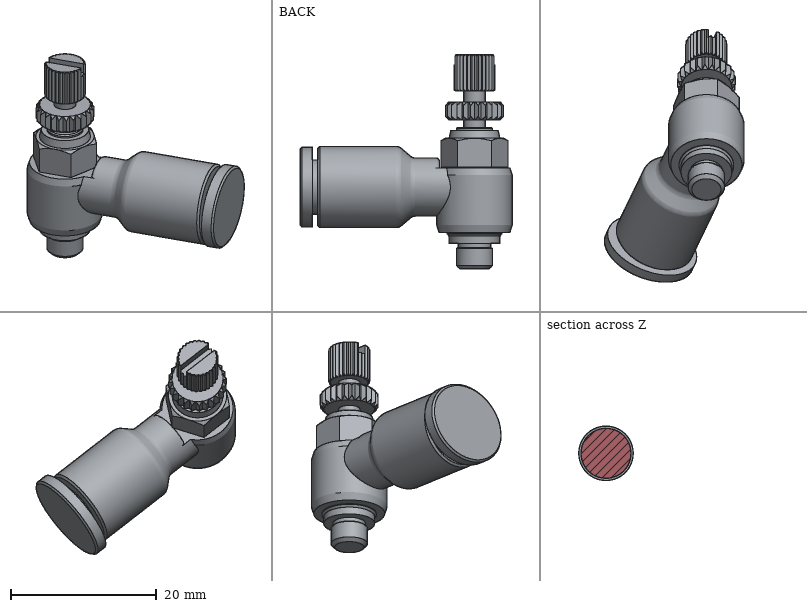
import cadquery as cq
import math


stud_d = 5.0
stud_tip_chamfer = 0.5
stud_top_z = 2.8
neck_d = 4.5
neck_bottom_z = 2.97
collar_d = 7.0
collar_bottom_z = 3.5
collar_top_z = 4.5
seal_d = 7.5
seal_rim_height = 0.1
swivel_neck_d = 6.9
swivel_gap = 0.1
body_d = 10.4
body_bottom_z = 5.0
body_top_z = 13.9
body_chamfer_width = 0.32
body_chamfer_height = 1.0

hex_flats = 8.0
hex_top_z = 17.95
hex_chamfer_angle = 30
cone_bottom_d = 7.0
cone_top_d = 6.5
cone_top_z = 19.05
lip_d = stud_d
lip_top_z = 19.47
lip_chamfer = 0.18

stem_d = 3.0
wheel_tip_d = 8.0
wheel_root_d = 6.9
wheel_teeth = 24
wheel_bottom_z = 20.47
wheel_height = 2.5
wheel_chamfer = 0.5
knob_tip_d = 5.68
knob_root_d = 5.1
knob_teeth = 28
knob_height = 5.0
knob_chamfer = 0.2
knob_top_z = 29.45
slot_width = 1.2
slot_depth = 1.4

socket_axis_z = 11.25
branch_d = 8.0
branch_shoulder_x = 4.8
branch_shoulder_fillet = 0.5
socket_d = 11.2
taper_start_x = 8.5
taper_end_x = 10.37
taper_fillet = 1.0
socket_end_x = 21.55
socket_end_chamfer = 0.3
sleeve_d = 7.5
flange_start_x = 22.3
overall_length = 29.15
flange_end_x = overall_length - body_d / 2
flange_width = 13.0
flange_height = 11.0
flange_chamfer = 0.27


def rod(diameter, bottom_z, top_z):
    """Upright cylinder on the valve axis."""
    return cq.Workplane("XY").workplane(offset=bottom_z).circle(diameter / 2).extrude(top_z - bottom_z)


def frustum(bottom_d, top_d, bottom_z, top_z):
    """Upright cone frustum on the valve axis."""
    height = top_z - bottom_z
    cone = cq.Solid.makeCone(bottom_d / 2, top_d / 2, height, cq.Vector(0, 0, bottom_z))
    return cq.Workplane(obj=cone)


def socket_plane(x):
    """Plane across the socket axis at the given X, with local x along +Y."""
    return cq.Workplane(cq.Plane(origin=(x, 0, socket_axis_z), xDir=(0, 1, 0), normal=(1, 0, 0)))


def make_stud():
    """Stud with its undercut, the sealing collar and the flared seal just clear of the body."""
    stud = rod(stud_d, 0, stud_top_z).faces("<Z").chamfer(stud_tip_chamfer)
    runout = frustum(stud_d, neck_d, stud_top_z, neck_bottom_z)
    neck = rod(neck_d, neck_bottom_z, collar_bottom_z)
    collar = rod(collar_d, collar_bottom_z, collar_top_z)
    seal_top_z = body_bottom_z - swivel_gap
    rim_bottom_z = seal_top_z - seal_rim_height
    seal = frustum(collar_d, seal_d, collar_top_z, rim_bottom_z)
    rim = rod(seal_d, rim_bottom_z, seal_top_z)
    swivel_neck = rod(swivel_neck_d, seal_top_z, body_bottom_z)
    lower_part = stud.union(runout).union(neck).union(collar)
    return lower_part.union(seal).union(rim).union(swivel_neck)


def make_body():
    """Elbow body with a steep chamfer at both ends."""
    end_d = body_d - 2 * body_chamfer_width
    lower_z = body_bottom_z + body_chamfer_height
    upper_z = body_top_z - body_chamfer_height
    bottom = frustum(end_d, body_d, body_bottom_z, lower_z)
    barrel = rod(body_d, lower_z, upper_z)
    top = frustum(body_d, end_d, upper_z, body_top_z)
    return bottom.union(barrel).union(top)


def make_nut():
    """Hexagon with corners along X, top corners turned off, on a neck just clear of the body."""
    corner_d = hex_flats / math.cos(math.radians(30))
    bottom_z = body_top_z + swivel_gap
    height = hex_top_z - bottom_z
    hexagon = cq.Workplane("XY").workplane(offset=bottom_z).polygon(6, corner_d).extrude(height)
    spread = 2 * height / math.tan(math.radians(hex_chamfer_angle))
    chamfer_cone = frustum(hex_flats + spread, hex_flats, bottom_z, hex_top_z)
    neck = rod(swivel_neck_d, body_top_z, bottom_z)
    return neck.union(hexagon.intersect(chamfer_cone))


def make_nut_top():
    """Cone and chamfered lip that close the nut around the stem."""
    cone = frustum(cone_bottom_d, cone_top_d, hex_top_z, cone_top_z)
    lip = rod(lip_d, cone_top_z, lip_top_z).faces(">Z").chamfer(lip_chamfer)
    return cone.union(lip)


def make_toothed_wheel(teeth, root_d, tip_d, bottom_z, height, chamfer):
    """Wheel with sharp V teeth, chamfered at both ends, a tooth root lying on +X."""
    points = []
    for step in range(2 * teeth):
        radius = (tip_d if step % 2 else root_d) / 2
        angle = math.pi * step / teeth
        points.append((radius * math.cos(angle), radius * math.sin(angle)))
    wheel = cq.Workplane("XY").workplane(offset=bottom_z).polyline(points).close().extrude(height)
    blank = rod(tip_d, bottom_z, bottom_z + height).faces("<Z or >Z").chamfer(chamfer)
    return wheel.intersect(blank)


def make_screw():
    """Stem carrying the lock wheel and the screwdriver-slotted knob."""
    knob_bottom_z = knob_top_z - knob_height
    stem = rod(stem_d, lip_top_z, knob_bottom_z)
    wheel = make_toothed_wheel(
        wheel_teeth, wheel_root_d, wheel_tip_d, wheel_bottom_z, wheel_height, wheel_chamfer
    )
    knob = make_toothed_wheel(
        knob_teeth, knob_root_d, knob_tip_d, knob_bottom_z, knob_height, knob_chamfer
    )
    slot = (
        cq.Workplane("XY")
        .workplane(offset=knob_top_z - slot_depth)
        .rect(knob_tip_d, slot_width)
        .extrude(slot_depth)
    )
    return stem.union(wheel).union(knob.cut(slot))


def make_branch():
    """Branch tube from the body, cut flat at the body top to clear the nut."""
    shoulder = (
        socket_plane(branch_shoulder_x)
        .circle(branch_d / 2)
        .extrude(taper_start_x - branch_shoulder_x)
        .faces("<X")
        .edges()
        .fillet(branch_shoulder_fillet)
    )
    root_length = branch_shoulder_x + branch_shoulder_fillet
    root = socket_plane(0).circle(branch_d / 2).extrude(root_length)
    below_body_top = cq.Workplane("XY").box(
        2 * root_length, branch_d, body_top_z, centered=(True, True, False)
    )
    return shoulder.union(root.intersect(below_body_top))


def make_socket():
    """Tapered socket with blended cone ends, starting at the branch shoulder fillet."""
    start_x = branch_shoulder_x + branch_shoulder_fillet
    outline = [
        (start_x, 0),
        (start_x, branch_d / 2),
        (taper_start_x, branch_d / 2),
        (taper_end_x, socket_d / 2),
        (socket_end_x, socket_d / 2),
        (socket_end_x, 0),
    ]
    socket = cq.Workplane("XZ").polyline(outline).close().revolve(360, (0, 0, 0), (1, 0, 0))
    socket = socket.faces(">X").chamfer(socket_end_chamfer)
    socket = socket.faces("%CONE").faces("<X").edges("%CIRCLE").fillet(taper_fillet)
    return socket.translate((0, 0, socket_axis_z))


def make_release_sleeve():
    """Release sleeve with its oval push flange."""
    sleeve = socket_plane(socket_end_x).circle(sleeve_d / 2).extrude(flange_start_x - socket_end_x)
    flange = (
        socket_plane(flange_start_x)
        .ellipse(flange_width / 2, flange_height / 2)
        .extrude(flange_end_x - flange_start_x)
        .faces(">X")
        .chamfer(flange_chamfer)
    )
    return sleeve.union(flange)


result = (
    make_body()
    .union(make_stud())
    .union(make_nut())
    .union(make_nut_top())
    .union(make_screw())
    .union(make_branch())
    .union(make_socket())
    .union(make_release_sleeve())
)